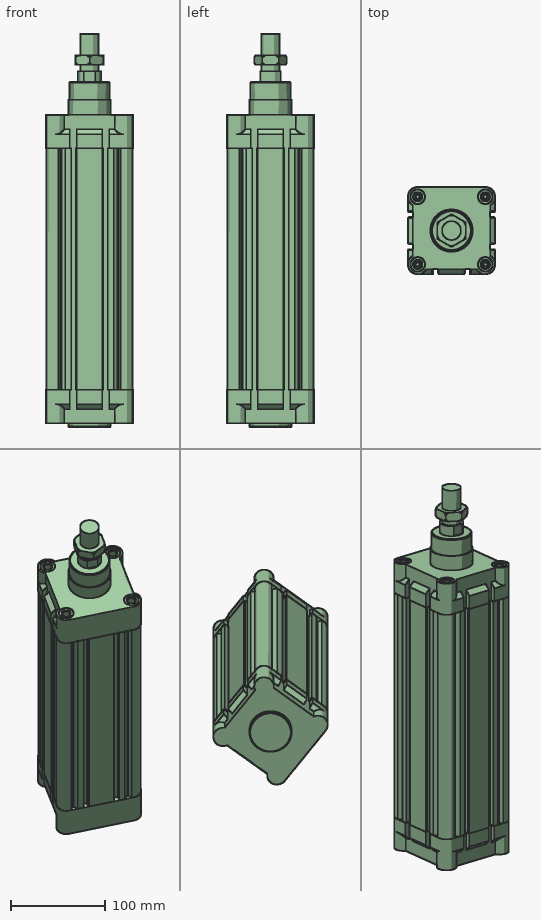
import cadquery as cq
import math

TOTAL_HEIGHT = 418.0
STUB_HEIGHT = 4.0
CAP_HEIGHT = 35.5
BODY_TOP = 332.0
COLLAR_STEP_Z = 348.0
COLLAR_TOP = 367.0
SHOULDER_Z = 378.3
NUT_BOTTOM = 385.0
NUT_HEIGHT = 10.0

BODY_WIDTH = 93.0
HALF_WIDTH = BODY_WIDTH / 2
CORNER_RADIUS = 10.5
CORNER_OFFSET = HALF_WIDTH - CORNER_RADIUS

BARREL_INSET = 0.2
BARREL_HALF_WIDTH = HALF_WIDTH - BARREL_INSET

RECESS_DEPTH = 5.5
RECESS_FLOOR = HALF_WIDTH - RECESS_DEPTH
PAD_HALF_WIDTH = 13.5
SIDE_PAD_INNER = 21.0
PAD_OUTER_HEIGHT = 15.0

SLOT_OUTER = 19.5
RAIL_CHAMFER = 1.3
V_INNER = 26.0
V_OUTER = 33.5
V_FLOOR_INNER = 29.5
V_FLOOR_OUTER = 31.0
V_DEPTH = V_FLOOR_INNER - V_INNER

SEAT_DIAMETER = 16.0
SEAT_FLOOR_DIAMETER = 15.0
SEAT_DEPTH = 0.5
SOCKET_MOUTH_DIAMETER = 10.0
SOCKET_DIAMETER = 8.0
SOCKET_DEPTH = 12.5
PILOT_DIAMETER = 4.15
PILOT_DEPTH = 8.5

COLLAR_DIAMETER = 45.0
COLLAR_TIP_DIAMETER = 43.0
COLLAR_CHAMFER = 1.05

ROD_DIAMETER = 25.0
ROD_FLAT_WIDTH = 22.0
THREAD_DIAMETER = 20.0
HALF_HEX_ANGLE = 30
NUT_ACROSS_FLATS = 30.0
NUT_ACROSS_CORNERS = NUT_ACROSS_FLATS / math.cos(math.radians(HALF_HEX_ANGLE))
NUT_CHAMFER_ANGLE = 30

REAR_CAP_TOP = STUB_HEIGHT + CAP_HEIGHT
BARREL_TOP = BODY_TOP - CAP_HEIGHT
ROD_BOTTOM = BARREL_TOP

CORNERS = [(x, y) for x in (-CORNER_OFFSET, CORNER_OFFSET) for y in (-CORNER_OFFSET, CORNER_OFFSET)]
GROOVED_SIDES = (0, 90, -90)
ALL_SIDES = (0, 90, 180, -90)


def about_z(shape, angle):
    return shape.rotate((0, 0, 0), (0, 0, 1), angle)


def cylinder(diameter, bottom, top):
    return cq.Workplane("XY").workplane(offset=bottom).circle(diameter / 2).extrude(top - bottom)


def square_column(half_width, bottom, top):
    """Square column whose corners are rounded about the common corner centres."""
    plane = cq.Workplane("XY").workplane(offset=bottom)
    column = plane.rect(2 * half_width, 2 * half_width).extrude(top - bottom)
    return column.edges("|Z").fillet(half_width - CORNER_OFFSET)


def recessed_outline(plane):
    """Square outline set back on three sides, leaving a round post at every corner; +Y stays flush."""
    post_reach = math.sqrt(CORNER_RADIUS**2 - (RECESS_FLOOR - CORNER_OFFSET) ** 2)
    wall_end = CORNER_OFFSET - post_reach
    post_tip = CORNER_OFFSET + CORNER_RADIUS / math.sqrt(2)
    return (
        plane.moveTo(-wall_end, -RECESS_FLOOR)
        .lineTo(wall_end, -RECESS_FLOOR)
        .threePointArc((post_tip, -post_tip), (RECESS_FLOOR, -wall_end))
        .lineTo(RECESS_FLOOR, wall_end)
        .threePointArc((post_tip, post_tip), (CORNER_OFFSET, HALF_WIDTH))
        .lineTo(-CORNER_OFFSET, HALF_WIDTH)
        .threePointArc((-post_tip, post_tip), (-RECESS_FLOOR, wall_end))
        .lineTo(-RECESS_FLOOR, -wall_end)
        .threePointArc((-post_tip, -post_tip), (-wall_end, -RECESS_FLOOR))
        .close()
    )


def pad_slopes():
    """Wedges along the -Y side that lead each pad back at 45 degrees to the recessed wall."""
    wedge = (
        cq.Workplane("YZ")
        .moveTo(-RECESS_FLOOR, PAD_OUTER_HEIGHT)
        .lineTo(-HALF_WIDTH, PAD_OUTER_HEIGHT)
        .lineTo(-RECESS_FLOOR, PAD_OUTER_HEIGHT + RECESS_DEPTH)
        .close()
        .extrude(CORNER_OFFSET, both=True)
    )
    return wedge.cut(pad_gaps())


def pad_gaps():
    """Two upright slots that part the -Y side into three pads."""
    middles = [(side * (PAD_HALF_WIDTH + SIDE_PAD_INNER) / 2, -HALF_WIDTH) for side in (-1, 1)]
    gaps = cq.Workplane("XY").pushPoints(middles)
    return gaps.rect(SIDE_PAD_INNER - PAD_HALF_WIDTH, 2 * RECESS_DEPTH).extrude(CAP_HEIGHT)


def end_cap():
    """Cap standing on Z = 0 with its barrel side down; its +Y side stays plain."""
    cap = square_column(HALF_WIDTH, 0, PAD_OUTER_HEIGHT)
    for angle in GROOVED_SIDES:
        cap = cap.cut(about_z(pad_gaps(), angle))
    upper = recessed_outline(cq.Workplane("XY").workplane(offset=PAD_OUTER_HEIGHT))
    cap = cap.union(upper.extrude(CAP_HEIGHT - PAD_OUTER_HEIGHT))
    for angle in GROOVED_SIDES:
        cap = cap.union(about_z(pad_slopes(), angle))
    return cap


def side_grooves():
    """Grooves of the barrel's -Y side: one slot and one V groove on each half."""
    slot = [
        (PAD_HALF_WIDTH, -BARREL_HALF_WIDTH),
        (PAD_HALF_WIDTH + RAIL_CHAMFER, -BARREL_HALF_WIDTH + RAIL_CHAMFER),
        (PAD_HALF_WIDTH + RAIL_CHAMFER, -RECESS_FLOOR),
        (SLOT_OUTER, -RECESS_FLOOR),
        (SLOT_OUTER, -BARREL_HALF_WIDTH),
    ]
    v_groove = [
        (V_INNER, -BARREL_HALF_WIDTH),
        (V_FLOOR_INNER, -BARREL_HALF_WIDTH + V_DEPTH),
        (V_FLOOR_OUTER, -BARREL_HALF_WIDTH + V_DEPTH),
        (V_OUTER, -BARREL_HALF_WIDTH),
    ]
    plane = cq.Workplane("XY").workplane(offset=REAR_CAP_TOP)
    length = BARREL_TOP - REAR_CAP_TOP
    half = plane.polyline(slot).close().extrude(length)
    half = half.union(plane.polyline(v_groove).close().extrude(length))
    return half.union(half.mirror("YZ"))


def barrel():
    tube = square_column(BARREL_HALF_WIDTH, REAR_CAP_TOP, BARREL_TOP)
    for angle in ALL_SIDES:
        tube = tube.cut(about_z(side_grooves(), angle))
    return tube


def screw_hole():
    """Stepped hole below Z = 0: conical seat, countersunk socket and pilot bore."""
    socket_floor = -SEAT_DEPTH - SOCKET_DEPTH
    countersink_depth = (SOCKET_MOUTH_DIAMETER - SOCKET_DIAMETER) / 2
    half_section = [
        (0, 0),
        (SEAT_DIAMETER / 2, 0),
        (SEAT_FLOOR_DIAMETER / 2, -SEAT_DEPTH),
        (SOCKET_MOUTH_DIAMETER / 2, -SEAT_DEPTH),
        (SOCKET_DIAMETER / 2, -SEAT_DEPTH - countersink_depth),
        (SOCKET_DIAMETER / 2, socket_floor),
        (PILOT_DIAMETER / 2, socket_floor),
        (PILOT_DIAMETER / 2, socket_floor - PILOT_DEPTH),
        (0, socket_floor - PILOT_DEPTH),
    ]
    return cq.Workplane("XZ").polyline(half_section).close().revolve(360, (0, 0, 0), (0, 1, 0))


def make_housing():
    front_cap = end_cap().translate((0, 0, BARREL_TOP))
    rear_cap = end_cap().mirror("XY").translate((0, 0, REAR_CAP_TOP))
    collar = cylinder(COLLAR_DIAMETER, BODY_TOP, COLLAR_STEP_Z)
    collar_tip = cylinder(COLLAR_TIP_DIAMETER, COLLAR_STEP_Z, COLLAR_TOP).faces(">Z").chamfer(COLLAR_CHAMFER)
    stub = cylinder(COLLAR_DIAMETER, 0, STUB_HEIGHT).faces("<Z").chamfer(COLLAR_CHAMFER)
    body = barrel().union(front_cap).union(rear_cap).union(stub).union(collar).union(collar_tip)
    for x, y in CORNERS:
        body = body.cut(screw_hole().translate((x, y, BODY_TOP)))
    return body.cut(cylinder(ROD_DIAMETER, ROD_BOTTOM, COLLAR_TOP))


def make_rod():
    """Round rod with two flats facing +Y and -Y above the collar and a thinner threaded end."""
    shaft = cylinder(ROD_DIAMETER, ROD_BOTTOM, COLLAR_TOP)
    between_flats = (
        cq.Workplane("XY")
        .workplane(offset=COLLAR_TOP)
        .rect(ROD_DIAMETER, ROD_FLAT_WIDTH)
        .extrude(SHOULDER_Z - COLLAR_TOP)
    )
    flats = cylinder(ROD_DIAMETER, COLLAR_TOP, SHOULDER_Z).intersect(between_flats)
    thread = cylinder(THREAD_DIAMETER, SHOULDER_Z, TOTAL_HEIGHT)
    return shaft.union(flats).union(thread)


def make_nut():
    """Hexagon nut with two flats facing +X and -X, its corners turned off at both ends."""
    plane = cq.Workplane("XY").workplane(offset=NUT_BOTTOM)
    hexagon = about_z(plane.polygon(6, NUT_ACROSS_CORNERS).extrude(NUT_HEIGHT), HALF_HEX_ANGLE)
    inset = (NUT_ACROSS_CORNERS - NUT_ACROSS_FLATS) / 2
    turned = cylinder(NUT_ACROSS_CORNERS, NUT_BOTTOM, NUT_BOTTOM + NUT_HEIGHT)
    turned = turned.faces("<Z or >Z").chamfer(inset, inset * math.tan(math.radians(NUT_CHAMFER_ANGLE)))
    bore = cylinder(THREAD_DIAMETER, NUT_BOTTOM, NUT_BOTTOM + NUT_HEIGHT)
    return hexagon.intersect(turned).cut(bore)


housing = make_housing()
rod = make_rod()
nut = make_nut()

result = cq.Compound.makeCompound([housing.val(), rod.val(), nut.val()])